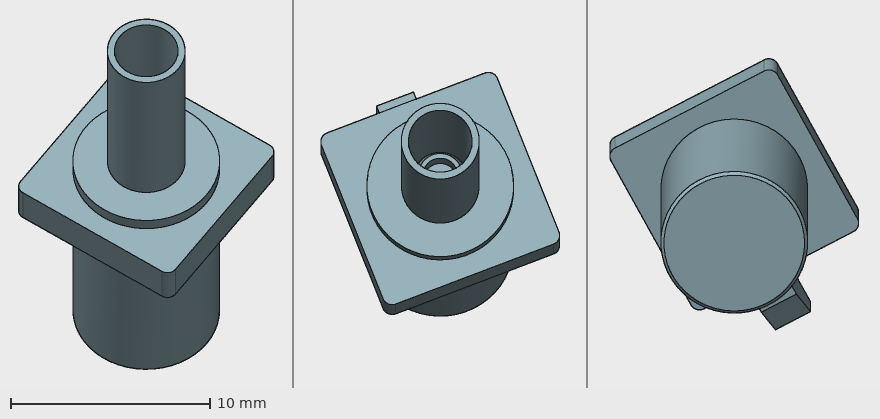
import cadquery as cq

total_height = 22.5

barrel_radius = 3.7
foot_chamfer = 0.15
flange_width = 9.5
flange_bottom = 10.17
flange_thickness = 2.14
flange_corner_radius = 0.5
collar_height = 0.7
flange_top = flange_bottom + flange_thickness
collar_top = flange_top + collar_height

latch_width = 2.0
latch_reach = 1.5
latch_shelf_height = 7.3
latch_bottom = 3.9
latch_back = flange_width / 2
latch_tip = latch_back + latch_reach

tube_outer_radius = 1.95
tube_inner_radius = 1.6

contact_radius = 1.33
contact_tip_radius = 1.1
contact_bore_radius = 0.85
contact_height = 2.25
contact_taper_height = 0.68
contact_bore_depth = 1.12


def make_latch():
    """Hook with a flat shelf on top and a 45 degree lead-in below."""
    return (
        cq.Workplane("YZ")
        .moveTo(0, latch_bottom)
        .lineTo(latch_back, latch_bottom)
        .lineTo(latch_tip, latch_bottom + latch_reach)
        .lineTo(latch_tip, latch_shelf_height)
        .lineTo(latch_back, latch_shelf_height)
        .lineTo(latch_back, flange_bottom)
        .lineTo(0, flange_bottom)
        .close()
        .extrude(latch_width / 2, both=True)
    )


def make_housing():
    """Barrel and collar of one diameter, with the flange and latch joined on."""
    barrel = cq.Workplane("XY").circle(barrel_radius).extrude(collar_top)
    barrel = barrel.faces("<Z").chamfer(foot_chamfer)
    flange = (
        cq.Workplane("XY")
        .workplane(offset=flange_bottom)
        .rect(flange_width, flange_width)
        .extrude(flange_thickness)
        .edges("|Z")
        .fillet(flange_corner_radius)
    )
    return barrel.union(flange).union(make_latch())


def make_tube():
    """Open tube from the collar to the top of the part."""
    return (
        cq.Workplane("XY")
        .workplane(offset=collar_top)
        .circle(tube_outer_radius)
        .circle(tube_inner_radius)
        .extrude(total_height - collar_top)
    )


def make_contact():
    """Round post with a tapered tip and a blind bore in its top."""
    contact_top = collar_top + contact_height
    taper_bottom = contact_top - contact_taper_height
    bore_floor = contact_top - contact_bore_depth
    return (
        cq.Workplane("XZ")
        .moveTo(0, collar_top)
        .lineTo(contact_radius, collar_top)
        .lineTo(contact_radius, taper_bottom)
        .lineTo(contact_tip_radius, contact_top)
        .lineTo(contact_bore_radius, contact_top)
        .lineTo(contact_bore_radius, bore_floor)
        .lineTo(0, bore_floor)
        .close()
        .revolve(360, (0, 0, 0), (0, 1, 0))
    )


housing = make_housing()
tube = make_tube()
contact = make_contact()

result = cq.Compound.makeCompound([housing.val(), tube.val(), contact.val()])